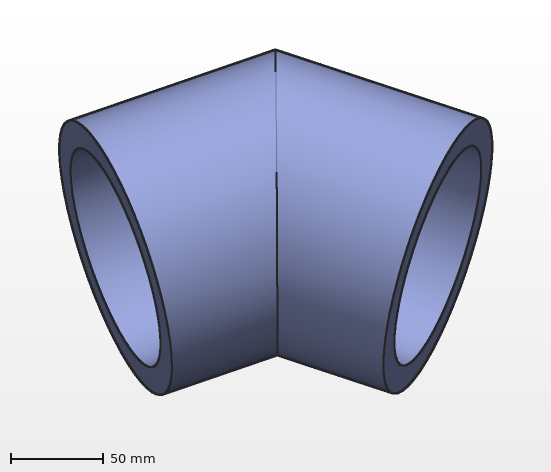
import cadquery as cq
import math

overall_length = 216.7
outer_diameter = 157.0
bore_diameter = 125.0
bend_angle = 45.0

outer_radius = outer_diameter / 2
bend = math.radians(bend_angle)
leg_length = (overall_length - outer_radius * math.sin(bend)) / (1 + math.cos(bend))

inlet_end = (0, -leg_length)
mitre_centre = (0, 0)
outlet_end = (leg_length * math.sin(bend), leg_length * math.cos(bend))


def mitred_bar(diameter):
    """Solid round bar following the centreline, with a sharp mitre at the bend."""
    centreline = cq.Workplane("XY").polyline([inlet_end, mitre_centre, outlet_end])
    profile = cq.Workplane("XZ", origin=(*inlet_end, 0)).circle(diameter / 2)
    return profile.sweep(centreline, transition="right")


result = mitred_bar(outer_diameter).cut(mitred_bar(bore_diameter))